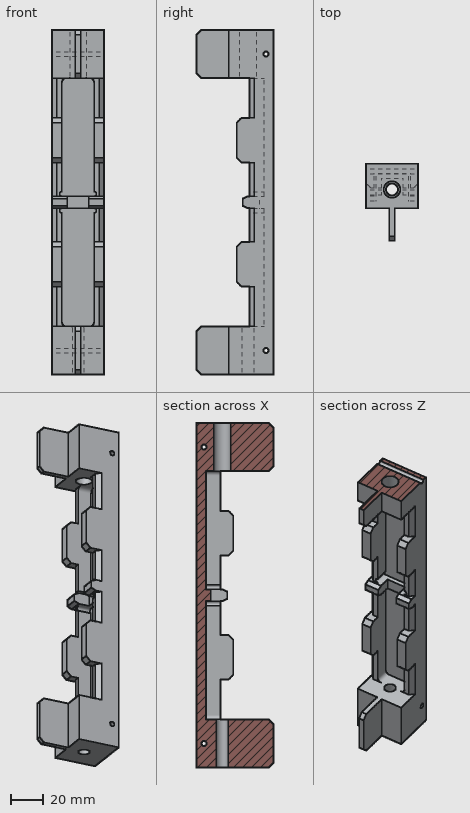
import cadquery as cq
length = 214.0
width = 32.5
body_depth = 27.8
total_depth = 48.0

block_length = 30.0
fin_thickness = 3.5
fin_chamfer = 3.0

wall_height = 15.0
wall_bevel = 3.0
channel_width = 20.0
channel_floor = 6.0
channel_corner_radius = 2.5

ear_height = 23.0
ear_length = 27.8
ear_chamfer = 3.0
ear_offset = 38.5

divider_shoulder = 16.3
divider_height = 19.3
divider_length = 7.3
divider_tip_length = 4.5
divider_gap = 13.3
divider_floor = 9.0
relief_radius = 1.5

upper_bore_diameter = 10.3
lower_bore_diameter = 7.3
bore_from_back = 16.0
cross_hole_diameter = 3.0
cross_hole_from_back = 4.7

block_center = (length - block_length) / 2
lower, upper = -1, 1
ends = (lower, upper)
sides = (-1, 1)


def box(size_x, back, front, size_z, center_x=0, center_z=0):
    """Box between two depths measured forward (-Y) from the flat back face."""
    return cq.Workplane("XY").box(size_x, front - back, size_z).translate(
        (center_x, -(back + front) / 2, center_z)
    )


def base_bar():
    """Full-length bar with beveled outer wall edges."""
    return box(width, 0, wall_height, length).edges("|Z and <Y").chamfer(wall_bevel)


def end_block(end):
    """Solid block with a thin fin on its front."""
    block = box(width, 0, body_depth, block_length, center_z=end * block_center)
    fin = box(fin_thickness, 0, total_depth, block_length, center_z=end * block_center)
    return block.union(fin.edges("|X and <Y").chamfer(fin_chamfer))


def ears(end):
    """Pair of chamfered guide ears, initially joined across the channel."""
    ear = box(width, 0, ear_height, ear_length, center_z=end * ear_offset)
    return ear.edges("|X and <Y").chamfer(ear_chamfer)


def channel():
    """Channel between the blocks, rounded at its four end corners."""
    clear_length = length - 2 * block_length
    cut = box(channel_width, channel_floor, total_depth, clear_length)
    return cut.edges("|Y").fillet(channel_corner_radius)


def divider():
    """Cross rib with a tapered front and a central gap."""
    rib = (
        cq.Workplane("YZ")
        .polyline([
            (0, -divider_length / 2),
            (-divider_shoulder, -divider_length / 2),
            (-divider_height, -divider_tip_length / 2),
            (-divider_height, divider_tip_length / 2),
            (-divider_shoulder, divider_length / 2),
            (0, divider_length / 2),
        ])
        .close()
        .extrude(width / 2, both=True)
    )
    return rib.cut(box(divider_gap, divider_floor, total_depth, divider_length))


def corner_relief(side, end):
    """Round notch in the wall beside the divider."""
    return (
        cq.Workplane("XZ")
        .center(side * channel_width / 2, end * (divider_length / 2 + relief_radius))
        .circle(relief_radius)
        .extrude(total_depth)
        .translate((0, -channel_floor, 0))
    )


def bore(diameter, end):
    """Lengthwise bore through one end block."""
    return (
        cq.Workplane("XY")
        .center(0, -bore_from_back)
        .circle(diameter / 2)
        .extrude(block_length / 2, both=True)
        .translate((0, 0, end * block_center))
    )


def cross_hole(end):
    """Small hole across the full width of one end block."""
    return (
        cq.Workplane("YZ")
        .center(-cross_hole_from_back, end * block_center)
        .circle(cross_hole_diameter / 2)
        .extrude(width, both=True)
    )


result = base_bar()
for end in ends:
    result = result.union(end_block(end)).union(ears(end))
result = result.cut(channel())
for end in ends:
    for side in sides:
        result = result.cut(corner_relief(side, end))
result = result.union(divider())

result = result.cut(bore(upper_bore_diameter, upper)).cut(bore(lower_bore_diameter, lower))
for end in ends:
    result = result.cut(cross_hole(end))